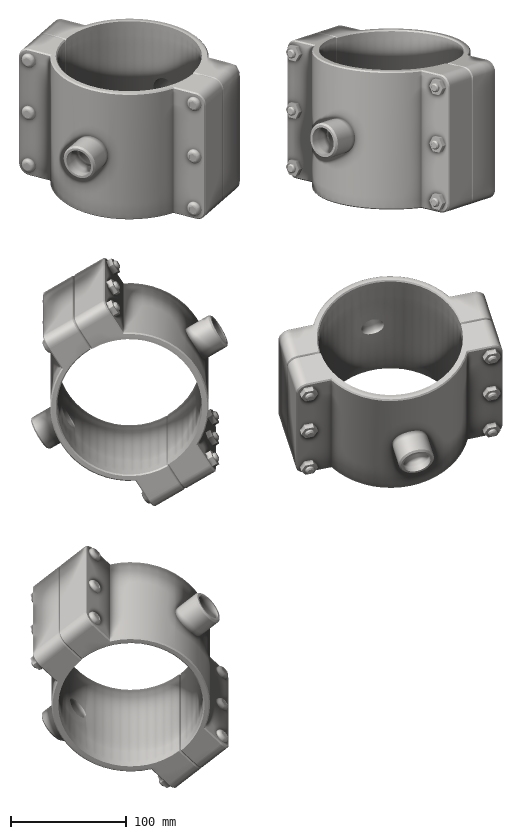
import cadquery as cq
import math

clamp_width = 184.0
clamp_height = 124.0
bore_radius = 62.5
wall_thickness = 5.9
shell_radius = bore_radius + wall_thickness
flange_depth = 31.5
flange_corner_radius = 10.0
edge_chamfer = 1.1

overall_depth = 182.0
nozzle_end = overall_depth / 2
nozzle_base = 66.5
nozzle_radius = 31.3 / 2
nozzle_bore_radius = 20.0 / 2
socket_radius = 24.1 / 2
socket_depth = 19.1
nozzle_chamfer = 1.5

bolt_x = 81.5
bolt_pitch = 51.5
head_radius = 13.0 / 2
head_rim_height = 0.5
head_dome_radius = 3.3
hex_recess_width = 6.6
hex_recess_depth = 0.2
hex_recess_turn = 30
nut_width = 12.9
nut_height = 4.8
thread_radius = 8.0 / 2
thread_end_length = 2.8
thread_chamfer = 1.1


def hexagon_diameter(across_flats):
    """Diameter through the corners of a hexagon."""
    return across_flats / math.cos(math.pi / 6)


def cylinder_y(radius, y_start, y_end):
    """Cylinder along Y between two Y positions."""
    return cq.Workplane("XZ", origin=(0, y_start, 0)).circle(radius).extrude(y_start - y_end)


def bore_cutter():
    return cq.Workplane("XY").circle(bore_radius).extrude(clamp_height, both=True)


def half_blank():
    """Solid half on the -Y side: the flange block with half of the shell cylinder."""
    flange_block = (
        cq.Workplane("XZ")
        .rect(clamp_width, clamp_height)
        .extrude(flange_depth)
        .edges("|Y")
        .fillet(flange_corner_radius)
    )
    half_cylinder = (
        cq.Workplane("XY")
        .workplane(offset=-clamp_height / 2)
        .moveTo(-shell_radius, 0)
        .threePointArc((0, -shell_radius), (shell_radius, 0))
        .close()
        .extrude(clamp_height)
    )
    return flange_block.union(half_cylinder)


def break_edges(half):
    """Chamfer the end faces and the parting face of a -Y half."""
    return half.faces(">Z or <Z or >Y").edges().chamfer(edge_chamfer)


def front_half():
    """Half whose bore edges are chamfered together with the outer edges."""
    return break_edges(half_blank().cut(bore_cutter()))


def rear_half():
    """Half on the +Y side, with sharp bore edges."""
    half = break_edges(half_blank()).cut(bore_cutter())
    return half.mirror("XZ")


def bolt_head():
    """Button head with a shallow hexagon recess, standing on Y = 0 and pointing to -Y."""
    top = head_rim_height + head_dome_radius
    top_radius = head_radius - head_dome_radius
    dome_offset = head_dome_radius * math.sin(math.pi / 4)
    head = (
        cq.Workplane("XY")
        .lineTo(head_radius, 0)
        .lineTo(head_radius, -head_rim_height)
        .threePointArc(
            (top_radius + dome_offset, -head_rim_height - dome_offset),
            (top_radius, -top),
        )
        .lineTo(0, -top)
        .close()
        .revolve(360, (0, 0, 0), (0, 1, 0))
    )
    hex_recess = (
        cq.Workplane("XZ", origin=(0, -top, 0))
        .polygon(6, hexagon_diameter(hex_recess_width))
        .extrude(-hex_recess_depth)
        .rotate((0, 0, 0), (0, 1, 0), hex_recess_turn)
    )
    return head.cut(hex_recess)


def nut_with_thread_end():
    """Hexagon nut and the bolt end beyond it, standing on Y = 0 and pointing to +Y."""
    nut = cq.Workplane("XZ").polygon(6, hexagon_diameter(nut_width)).extrude(-nut_height)
    thread_end = (
        cylinder_y(thread_radius, 0, nut_height + thread_end_length)
        .faces(">Y")
        .chamfer(thread_chamfer)
    )
    return nut.union(thread_end)


def make_clamp():
    clamp = front_half().union(rear_half())
    for x in (-bolt_x, bolt_x):
        for z in (-bolt_pitch, 0, bolt_pitch):
            clamp = clamp.union(bolt_head().translate((x, -flange_depth, z)))
            clamp = clamp.union(nut_with_thread_end().translate((x, flange_depth, z)))
    for side in (-1, 1):
        seat = cylinder_y(nozzle_radius, side * nozzle_base, side * nozzle_end)
        clamp = clamp.cut(seat)
    passage = cylinder_y(nozzle_bore_radius, -nozzle_end, nozzle_end)
    return clamp.cut(passage)


def make_nozzle():
    """Nozzle on the -Y side: a stepped tube with a chamfered rim."""
    tube = cylinder_y(nozzle_radius, -nozzle_base, -nozzle_end).faces("<Y").chamfer(nozzle_chamfer)
    tube = tube.cut(cylinder_y(nozzle_bore_radius, -nozzle_base, -nozzle_end))
    return tube.cut(cylinder_y(socket_radius, -nozzle_end + socket_depth, -nozzle_end))


clamp = make_clamp()
nozzles = []
for angle in (0, 180):
    nozzles.append(make_nozzle().rotate((0, 0, 0), (0, 0, 1), angle).val())

result = cq.Compound.makeCompound([clamp.val(), *nozzles])